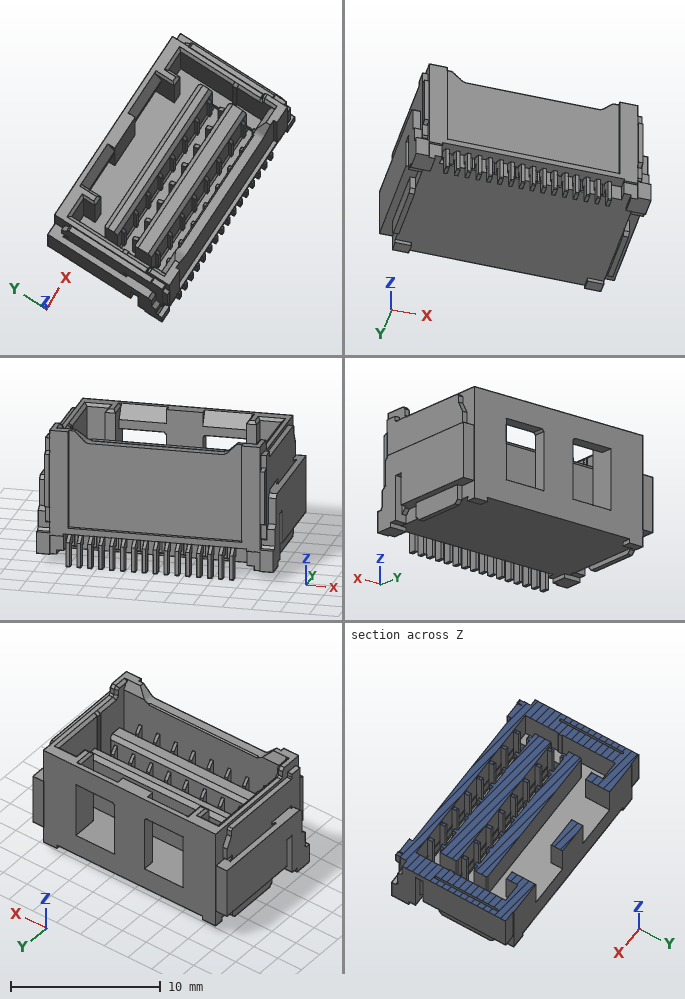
import cadquery as cq
import math

HALF_MITRE = math.radians(22.5)


shell_half = 7.24
shell_front = 0.05
shell_back = 9.2
shell_bottom = 1.08
shell_top = 8.75
front_top = 9.55
ear_back = 1.85
ear_chamfer = 0.21
ear_foot = 0.13
foot_bottom = 0.78
front_foot_back = 1.42

cavity_half = 6.68
cavity_front = 1.06
cavity_floor = 2.74
bay_back = 8.18
center_back = 8.28
rim_chamfer = 0.23
rim_depth = 0.2
rim_front = 2.12
flare_bottom = 8.92
flare_front = 0.67
post_inner = 4.5
post_outer = 5.22
post_front = 7.27
post_chamfer = 0.18

window_inner = 1.25
window_top = 7.14
window_corner = 0.16
ramp_bottom = 7.78
ramp_rim = 8.83

row_half = 5.82
ridge_top = 7.12
pocket_floor = 1.95
ridge_foot = 0.15
pocket_foot = 0.07
ridge_chamfer = 0.3
ridge_corner = 0.1
contact_width = 0.25
contact_pitch = 1.5
contact_count = 8
row_pitch = 2.7
rear_pocket_front = 3.81
rear_pocket_back = 5.09
contact_tip = 6.6
contact_slope = 0.52
rear_reach = 0.25
front_reach = 0.39

pin_count = 2 * contact_count
pin_pitch = contact_pitch / 2
pin_first = -5.98
pin_depth = 0.6
pin_shoulder = 1.73
pin_tip_chamfer = 0.07

panel_half = 5.98
panel_bottom = 2.74
panel_depth = 0.28
notch_half = 5.59
notch_floor = 8.74
notch_radius = 0.52
notch_edge = 0.1
tail_recess_half = 6.3
tail_recess_back = 0.82
tail_recess_top = 2.3
corner_block_top = 2.14
corner_block_setback = 0.15

wing_half = 8.15
wing_back = 9.15
wing_top = 6.0
wing_bottom = 2.04
plate_outer = 7.61
plate_front = 0.37
slit_width = 0.11
leg_back = 1.95


def box(x0, x1, y0, y1, z0, z1):
    return cq.Workplane("XY").box(x1 - x0, y1 - y0, z1 - z0, centered=False).translate((x0, y0, z0))


def side_profile(points, x0, x1):
    """Prism with a (Y, Z) outline, running from x0 to x1."""
    return cq.Workplane("YZ").workplane(offset=x0).polyline(points).close().extrude(x1 - x0)


def both_sides(solid):
    return solid.union(solid.mirror("YZ"))


def ear_outline(inset):
    """Back edge of a front wall ear, from top to side rim, offset into the material."""
    turn = inset * math.tan(HALF_MITRE)
    back = ear_back - inset
    return [
        (ear_back - ear_chamfer - turn, front_top - inset),
        (back, front_top - ear_chamfer - turn),
        (back, shell_top + ear_foot - turn),
        (ear_back + ear_foot - turn, shell_top - inset),
    ]


def cavity_outline(front, rim, post):
    """Plan of the cavity, opened by rim at the walls and by post at the guide posts."""
    side = cavity_half + rim
    bay = bay_back + rim
    outer = post_outer - post
    inner = post_inner + post
    tip = post_front + rim
    right = [(side, front), (side, bay), (outer, bay), (outer, tip), (inner, tip), (inner, center_back)]
    left = [(-x, y) for x, y in reversed(right)]
    return right + left


def make_shell():
    outline = [(shell_front, shell_bottom), (shell_front, front_top)]
    outline += ear_outline(0)
    outline += [(shell_back, shell_top), (shell_back, shell_bottom)]
    return side_profile(outline, -shell_half, shell_half)


def make_cavity():
    """Cavity with its floor, rim lead-in and front flare."""
    well = (cq.Workplane("XY").workplane(offset=cavity_floor)
            .polyline(cavity_outline(cavity_front, 0, 0)).close()
            .extrude(front_top - cavity_floor))
    rim = (cq.Workplane("XY").workplane(offset=shell_top - rim_depth)
           .polyline(cavity_outline(rim_front, 0, 0)).close()
           .workplane(offset=rim_depth)
           .polyline(cavity_outline(rim_front, rim_chamfer, post_chamfer)).close()
           .loft(ruled=True))
    flare = side_profile(
        [(cavity_front, flare_bottom), (flare_front, front_top), (cavity_front, front_top)],
        -cavity_half, cavity_half)
    return well.union(rim).union(flare).union(both_sides(make_ear_lead_in()))


def make_ear_lead_in():
    """Sloped inner edge of the side rim where it climbs over an ear."""
    overhead = front_top + rim_depth

    def region(inset):
        start = [(flare_front, overhead), (flare_front, front_top - inset)]
        end = [(rim_front, shell_top - inset), (rim_front, overhead)]
        return start + ear_outline(inset) + end

    return (cq.Workplane("YZ").workplane(offset=cavity_half)
            .polyline(region(rim_depth)).close()
            .workplane(offset=rim_chamfer)
            .polyline(region(0)).close()
            .loft(ruled=True))


def make_windows():
    """Openings through the back wall, each below a sloped lead-in."""
    ramp = side_profile(
        [(ramp_rim, shell_top), (center_back, ramp_bottom),
         (bay_back, ramp_bottom), (bay_back, shell_top)],
        window_inner, post_inner)
    opening = box(window_inner, post_inner, bay_back, shell_back, cavity_floor, window_top)
    opening = opening.edges("|Y and >Z and <X").chamfer(window_corner)
    post_edge = (cq.Workplane("XZ", origin=(0, ramp_rim, 0))
                 .polyline([(post_inner, shell_top - rim_depth), (post_inner, shell_top),
                            (post_inner + post_chamfer, shell_top)]).close()
                 .extrude(ramp_rim - center_back))
    return both_sides(ramp.union(opening).union(post_edge))


def make_wall_ribs():
    """Slim guide ribs on the side walls, sloped at the top like the rim."""
    rib_reach = 0.07
    rib_front = 3.68
    rib_width = 0.33
    inner = cavity_half - rib_reach
    outer = cavity_half + rim_chamfer
    rib = (cq.Workplane("XZ", origin=(0, rib_front + rib_width, 0))
           .polyline([(inner, cavity_floor), (inner, shell_top - rim_depth),
                      (outer, shell_top), (outer, cavity_floor)]).close()
           .extrude(rib_width))
    return both_sides(rib)


def make_ridge(front, back):
    """Tongue with a chamfered top and a sloped foot in its pocket."""
    foot_top = pocket_floor + ridge_foot
    ridge = side_profile(
        [(front - ridge_foot, pocket_floor), (front, foot_top), (front, ridge_top - ridge_chamfer),
         (front + ridge_chamfer, ridge_top), (back - ridge_chamfer, ridge_top),
         (back, ridge_top - ridge_chamfer), (back, pocket_floor)],
        -row_half, row_half)
    return ridge.edges("|Z").edges(">Y").chamfer(ridge_corner)


def make_pocket(front, back):
    return side_profile(
        [(front + pocket_foot, pocket_floor), (front, pocket_floor + pocket_foot), (front, cavity_floor),
         (back, cavity_floor), (back, pocket_floor)],
        -row_half, row_half)


def make_contacts(front, back):
    """Paired contacts with sloped tips on the two walls of a pocket."""
    shoulder = contact_tip - contact_slope
    rear = [(back, pocket_floor), (back, contact_tip),
            (back - rear_reach, shoulder), (back - rear_reach, pocket_floor)]
    fore = [(front, pocket_floor), (front, contact_tip),
            (front + front_reach, shoulder), (front + front_reach, pocket_floor)]
    pair = side_profile(rear, -contact_width / 2, contact_width / 2)
    pair = pair.union(side_profile(fore, -contact_width / 2, contact_width / 2))
    row = cq.Workplane("XY")
    for i in range(contact_count):
        row = row.union(pair.translate(((i - (contact_count - 1) / 2) * contact_pitch, 0, 0)))
    return row


def make_front_panel():
    return box(-panel_half, panel_half, 0, shell_front + panel_depth, panel_bottom, front_top)


def make_front_notch():
    """Cut-out in the front rim: 45 degree ends blended into a flat floor."""
    corner = notch_half - (front_top - notch_floor)
    tangent = notch_radius * math.tan(HALF_MITRE)
    diagonal = tangent * math.sqrt(0.5)
    middle = notch_radius * math.sin(HALF_MITRE)
    sag = notch_radius * (1 - math.cos(HALF_MITRE))
    flat = corner - tangent
    slope_end = (corner + diagonal, notch_floor + diagonal)
    edge = side_profile(
        [(cavity_front, notch_floor - notch_edge), (cavity_front, notch_floor),
         (cavity_front - notch_edge, notch_floor)],
        -flat, flat)
    arc_mid = (flat + middle, notch_floor + sag)
    notch = (cq.Workplane("XZ").moveTo(-notch_half, front_top)
             .lineTo(-slope_end[0], slope_end[1])
             .threePointArc((-arc_mid[0], arc_mid[1]), (-flat, notch_floor))
             .lineTo(flat, notch_floor)
             .threePointArc(arc_mid, slope_end)
             .lineTo(notch_half, front_top).close()
             .extrude(-cavity_front))
    return notch.union(edge)


def make_tail_recess():
    """Space under the front wall for the pin tails, with notches between pin pairs."""
    notch_bottom = 1.22
    notch_depth = 0.16
    web_width = 0.23
    web_height = 0.08
    recess = box(-tail_recess_half, tail_recess_half, 0, tail_recess_back, 0, tail_recess_top)
    setback = box(-shell_half, shell_half, 0, shell_front + corner_block_setback, 0, corner_block_top)
    recess = recess.union(setback)
    for i in range(0, pin_count, 2):
        left = pin_first + i * pin_pitch
        right = left + pin_pitch
        middle = (left + right) / 2
        back = tail_recess_back + notch_depth
        web_face = back - web_height
        recess = recess.union(box(left, right, 0, web_face, notch_bottom, tail_recess_top))
        recess = recess.union(
            box(left, middle - web_width / 2, 0, back, notch_bottom, tail_recess_top))
        recess = recess.union(
            box(middle + web_width / 2, right, 0, back, notch_bottom, tail_recess_top))
    return recess


def make_pins():
    """Vertical tails that lean back into the housing at the top."""
    root = tail_recess_back + 0.11
    root_bottom = 1.47
    root_top = 2.38
    outline = [(pin_tip_chamfer, 0), (0, pin_tip_chamfer), (0, pin_shoulder), (root, root_top),
               (root, root_bottom), (pin_depth, root_bottom), (pin_depth, 0)]
    pin = side_profile(outline, -contact_width / 2, contact_width / 2)
    row = cq.Workplane("XY")
    for i in range(pin_count):
        row = row.union(pin.translate((pin_first + i * pin_pitch, 0, 0)))
    return row


def make_feet():
    foot_front = shell_front + corner_block_setback
    front_foot_inner = 6.8
    back_foot_inner = 6.11
    back_foot_front = 8.48
    front_foot = box(front_foot_inner, shell_half, foot_front, front_foot_back, foot_bottom, shell_bottom)
    back_foot = box(back_foot_inner, shell_half, back_foot_front, shell_back, foot_bottom, shell_bottom)
    return both_sides(front_foot.union(back_foot))


def make_wing():
    """Right wing: side guard, stepped front edge and front leg."""
    leg_notch = 1.11
    leg_chamfer = 0.36
    guard_front = 0.88
    guard_chamfer = 0.26
    leg_waist = 0.52
    leg_top = 2.3
    outline = [
        (wing_back, wing_bottom), (wing_back, wing_top),
        (guard_front + guard_chamfer, wing_top), (guard_front, wing_top - guard_chamfer),
        (guard_front, 3.91), (leg_waist, 3.65), (leg_waist, 2.5), (0.37, leg_top),
        (shell_front, leg_top), (shell_front, foot_bottom),
        (front_foot_back, foot_bottom), (front_foot_back, leg_notch), (leg_back, leg_notch),
        (leg_back, wing_bottom - leg_chamfer), (leg_back + leg_chamfer, wing_bottom),
    ]
    wing = side_profile(outline, shell_half, wing_half)
    slit_floor = wing_bottom + 0.33
    slit_front = 3.18
    slit_back = 8.2
    slit = box(plate_outer, plate_outer + slit_width, slit_front, slit_back, slit_floor, wing_top)
    groove_step = 2.31
    groove_back = 2.55
    groove_bottom = wing_bottom - leg_chamfer
    groove_top = 4.32
    groove = (cq.Workplane("XY").workplane(offset=groove_bottom)
              .polyline([(plate_outer, leg_back), (plate_outer, groove_step),
                         (plate_outer + groove_back - groove_step, groove_back),
                         (wing_half, groove_back), (wing_half, leg_back)]).close()
              .extrude(groove_top - groove_bottom))
    return wing.cut(slit).cut(groove)


def make_plate():
    """Right retention plate between shell and wing, with a bottom tab and a front bump."""
    shoulder = 6.21
    tab_bottom = 0.73
    tab_chamfer = 0.26
    tab_front = 3.47
    tab_back = 7.85
    arm_top = 8.9
    arm_back = 1.34
    arm_bottom = 2.89
    arm_chamfer = 0.08
    top = 8.52
    top_back = 7.95
    top_chamfer = 0.15
    barb_back = 8.41
    outline = [
        (plate_front, arm_top), (arm_back - arm_chamfer, arm_top),
        (arm_back - arm_chamfer, top + arm_chamfer), (arm_back, top),
        (top_back - top_chamfer, top), (top_back, top - top_chamfer), (top_back, 7.92),
        (barb_back, 7.12), (barb_back, shoulder), (tab_back, shoulder),
        (tab_back, tab_bottom + tab_chamfer), (tab_back - tab_chamfer, tab_bottom),
        (tab_front + tab_chamfer, tab_bottom), (tab_front, tab_bottom + tab_chamfer),
        (tab_front, shoulder), (arm_back, shoulder), (arm_back, arm_bottom),
        (0.52, arm_bottom), (plate_front, 3.0),
    ]
    plate = side_profile(outline, shell_half, plate_outer)
    bump_taper = 0.15
    bump_margin = 0.03
    bump_bottom = 4.0
    bump_top = 8.0
    bump = side_profile(
        [(plate_front, bump_bottom), (0, bump_bottom + bump_taper),
         (0, bump_top - bump_taper), (plate_front, bump_top)],
        shell_half + bump_margin, plate_outer - bump_margin)
    return plate.union(bump)


result = make_shell().cut(make_cavity()).cut(make_windows())
result = result.cut(make_front_panel()).cut(make_front_notch()).cut(make_tail_recess())
result = result.union(make_wall_ribs())

ridge_depths = (1.06, 1.37)
for index, depth in enumerate(ridge_depths):
    shift = index * row_pitch
    pocket_front = rear_pocket_front - shift
    pocket_back = rear_pocket_back - shift
    result = result.cut(make_pocket(pocket_front, pocket_back))
    result = result.union(make_ridge(pocket_back, pocket_back + depth))
    result = result.union(make_contacts(pocket_front, pocket_back))

result = result.union(make_pins()).union(make_feet())
result = result.union(both_sides(make_wing())).union(both_sides(make_plate()))